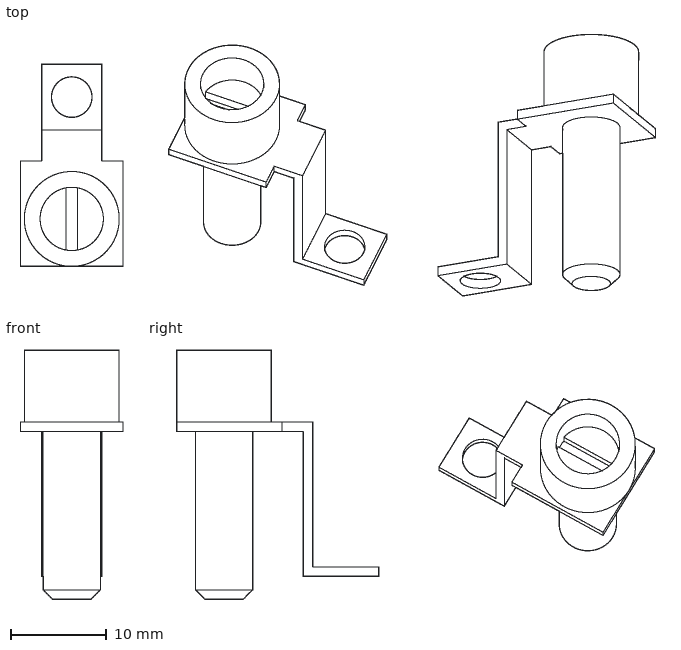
import cadquery as cq

sheet = 1.0
plate_width = 10.7
plate_length = 11.0
strip_width = 6.3
total_length = 21.1
upright_setback = 14.2
bracket_height = 16.1
foot_hole_diameter = 4.2
foot_hole_edge_distance = 3.45

head_diameter = 9.9
head_height = 7.5
bore_diameter = 6.6
bore_depth = 4.0
slot_width = 1.2
slot_depth = 1.2
shank_diameter = 6.0
tip_chamfer = 1.0
total_height = 26.0

plate_front = -head_diameter / 2
plate_back = plate_front + plate_length
upright_back = plate_front + upright_setback
foot_end = plate_front + total_length
foot_bottom = -bracket_height
shank_bottom = head_height - total_height


def box_between(width, y_start, y_end, z_start, z_end):
    """Box centred on X, spanning the given Y and Z ranges."""
    box = cq.Workplane("XY").box(width, y_end - y_start, z_end - z_start, centered=(True, False, False))
    return box.translate((0, y_start, z_start))


def make_bracket():
    """Z-shaped bracket with a wide head plate and a drilled foot."""
    upright_front = upright_back - sheet
    plate = box_between(plate_width, plate_front, plate_back, -sheet, 0)
    neck = box_between(strip_width, plate_back, upright_back, -sheet, 0)
    upright = box_between(strip_width, upright_front, upright_back, foot_bottom, 0)
    foot = box_between(strip_width, upright_front, foot_end, foot_bottom, foot_bottom + sheet)
    hole = (
        cq.Workplane("XY", origin=(0, foot_end - foot_hole_edge_distance, foot_bottom))
        .circle(foot_hole_diameter / 2)
        .extrude(sheet)
    )
    return plate.union(neck).union(upright).union(foot).cut(hole)


def make_head():
    """Cylindrical head with a blind bore and a screwdriver slot in the bore floor."""
    bore_floor = head_height - bore_depth
    head = cq.Workplane("XY").circle(head_diameter / 2).extrude(head_height)
    bore = cq.Workplane("XY").workplane(offset=bore_floor).circle(bore_diameter / 2).extrude(bore_depth)
    slot_blank = (
        cq.Workplane("XY")
        .workplane(offset=bore_floor - slot_depth)
        .circle(bore_diameter / 2)
        .extrude(slot_depth)
    )
    slot_band = box_between(
        slot_width, -bore_diameter, bore_diameter, bore_floor - slot_depth, bore_floor
    )
    return head.cut(bore).cut(slot_blank.intersect(slot_band))


def make_shank():
    """Plain shank with a chamfered tip, running up to the underside of the head."""
    shank = cq.Workplane("XY").workplane(offset=shank_bottom).circle(shank_diameter / 2).extrude(-shank_bottom)
    return shank.faces("<Z").chamfer(tip_chamfer)


result = make_bracket().union(make_head()).union(make_shank())